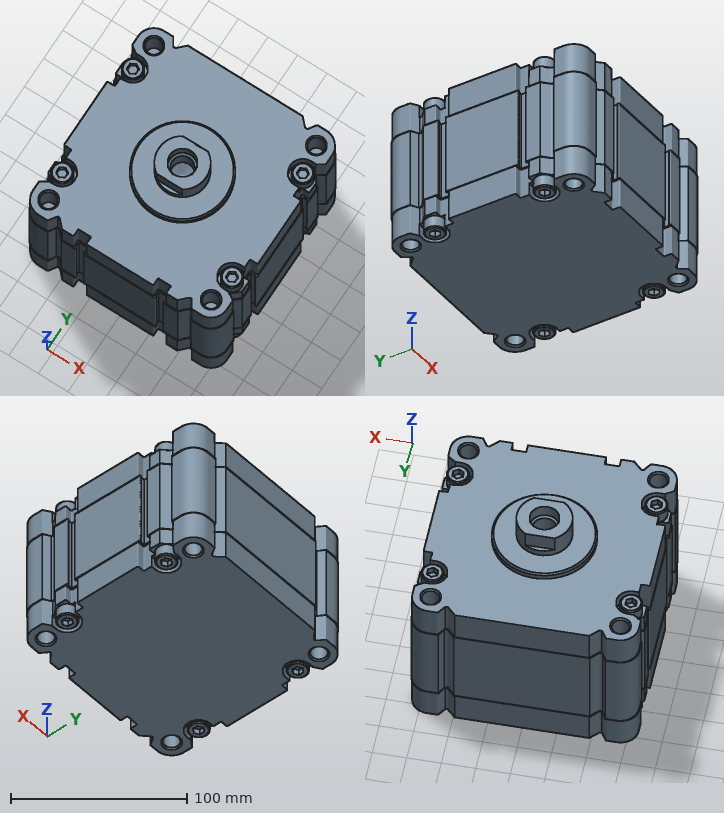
import cadquery as cq
import math

housing_height = 91.0
cap_height = 19.5
barrel_height = housing_height - 2 * cap_height
overall_height = 109.0

barrel_width = 132.0
cap_width = 131.2
corner_center = 55.0
quarter_turns = (0, 90, 180, 270)
slotted_sides = (-90, 0, 90)

cap_groove_corner_edge = 48.7
cap_groove_floor_start = 45.3
cap_groove_inner_edge = 38.9
cap_groove_floor_level = 60.5
barrel_groove_corner_edge = 48.4
barrel_groove_floor_start = 45.8
barrel_groove_inner_edge = 39.4
barrel_groove_floor_level = 61.0
groove_floor_end = 43.9
groove_floor_radius = 1.0

slot_spacing = 54.0
cap_slot_width = 8.6
cap_slot_depth = 5.1
cap_slot_floor_radius = 0.4
barrel_slot_width = 6.4
barrel_slot_mouth = 5.2
barrel_slot_lip = 1.2
barrel_slot_depth = 4.5
edge_radius = 0.5

mount_hole_diameter = 10.11
mount_hole_mouth = 12.0
mount_hole_depth = 20.0

bolt_x = 57.5
bolt_y = 37.0
bolt_recess_diameter = 17.0
bolt_head_diameter = 13.0
bolt_head_face_diameter = 11.45
bolt_head_height = 8.0
bolt_socket_width = 6.0
bolt_socket_depth = 4.0

collar_diameter = 60.0
collar_height = 4.0
collar_chamfer = 1.0

rod_diameter = 32.0
rod_flat_width = 27.0
rod_flat_length = 10.0
rod_bottom = housing_height - cap_height
rod_length = overall_height - rod_bottom
rod_bore_diameter = 17.0
rod_bore_depth = 7.6
rod_thread_diameter = 13.84
rod_thread_depth = 20.0
countersink_angle = 120.0
drill_angle = 118.0


def turned(body, angle):
    """Body turned about the housing axis."""
    return body.rotate((0, 0, 0), (0, 0, 1), angle)


def cone_height(radius_change, full_angle):
    return radius_change / math.tan(math.radians(full_angle / 2))


def revolved(profile):
    """Solid of revolution about Z from (radius, height) points."""
    return cq.Workplane("XZ").polyline(profile).close().revolve(360, (0, 0, 0), (0, 1, 0))


def cylinder(diameter, bottom, height):
    return cq.Workplane("XY").workplane(offset=bottom).circle(diameter / 2).extrude(height)


def side_box(width, inner_level, outer_level, height):
    """Box on the -Y side, between two distances from the housing axis."""
    middle_level = (inner_level + outer_level) / 2
    return (
        cq.Workplane("XY")
        .center(0, -middle_level)
        .rect(width, outer_level - inner_level)
        .extrude(height)
    )


def round_side_edges(body, height, level, places, angles):
    """Round upright edges at the given places along the sides, at one distance from the axis."""
    for angle in angles:
        turn = math.radians(angle)
        for place in places:
            edge_middle = (
                place * math.cos(turn) + level * math.sin(turn),
                place * math.sin(turn) - level * math.cos(turn),
                height / 2,
            )
            body = body.edges(cq.NearestToPointSelector(edge_middle)).fillet(edge_radius)
    return body


def make_groove(height, side, floor_level, corner_edge, floor_start, inner_edge):
    """Groove in the -Y side, near its -X end."""
    floor_end = (-groove_floor_end, -floor_level, height / 2)
    return (
        cq.Workplane("XY")
        .moveTo(-corner_edge, -side)
        .lineTo(-floor_start, -floor_level)
        .lineTo(-groove_floor_end, -floor_level)
        .lineTo(-inner_edge, -side)
        .close()
        .extrude(height)
        .edges(cq.NearestToPointSelector(floor_end))
        .fillet(groove_floor_radius)
    )


def make_section(width, height, groove, slot):
    """Rounded square with a groove at both ends of every side, and the sensor slots."""
    corner_radius = width / 2 - corner_center
    body = cq.Workplane("XY").rect(width, width).extrude(height).edges("|Z").fillet(corner_radius)
    for angle in quarter_turns:
        body = body.cut(turned(groove, angle))
        body = body.cut(turned(groove.mirror("YZ"), angle))
    for angle in slotted_sides:
        for x in (-slot_spacing / 2, slot_spacing / 2):
            body = body.cut(turned(slot.translate((x, 0, 0)), angle))
    return body


def slot_edges(mouth_width):
    """Places along a side of the edges of both slot mouths."""
    return [
        center + edge
        for center in (-slot_spacing / 2, slot_spacing / 2)
        for edge in (-mouth_width / 2, mouth_width / 2)
    ]


def make_barrel():
    side = barrel_width / 2
    groove = make_groove(
        barrel_height,
        side,
        barrel_groove_floor_level,
        barrel_groove_corner_edge,
        barrel_groove_floor_start,
        barrel_groove_inner_edge,
    )
    lip_level = side - barrel_slot_lip
    mouth = side_box(barrel_slot_mouth, lip_level, side, barrel_height)
    chamber = side_box(barrel_slot_width, side - barrel_slot_depth, lip_level, barrel_height)
    barrel = make_section(barrel_width, barrel_height, groove, mouth.union(chamber))
    return round_side_edges(barrel, barrel_height, side, slot_edges(barrel_slot_mouth), slotted_sides)


def make_plain_cap():
    side = cap_width / 2
    groove = make_groove(
        cap_height,
        side,
        cap_groove_floor_level,
        cap_groove_corner_edge,
        cap_groove_floor_start,
        cap_groove_inner_edge,
    )
    slot = side_box(cap_slot_width, side - cap_slot_depth, side, cap_height)
    slot = slot.edges("|Z and >Y").fillet(cap_slot_floor_radius)
    cap = make_section(cap_width, cap_height, groove, slot)
    groove_edges = (-cap_groove_corner_edge, cap_groove_corner_edge)
    cap = round_side_edges(cap, cap_height, side, groove_edges, quarter_turns)
    return round_side_edges(cap, cap_height, side, slot_edges(cap_slot_width), slotted_sides)


def make_mount_hole():
    """Cutter for a blind mounting hole with a chamfered mouth at Z = 0."""
    hole_radius = mount_hole_diameter / 2
    mouth_radius = mount_hole_mouth / 2
    return revolved(
        [
            (0, 0),
            (mouth_radius, 0),
            (hole_radius, hole_radius - mouth_radius),
            (hole_radius, -mount_hole_depth),
            (0, -mount_hole_depth),
        ]
    )


def make_bolt_recess():
    """Cutter for a bolt head's recess, open towards +X and with its top at Z = 0."""
    run = cap_width / 2
    opening = (
        cq.Workplane("XY").center(run / 2, 0).rect(run, bolt_recess_diameter).extrude(-bolt_head_height)
    )
    return cylinder(bolt_recess_diameter, -bolt_head_height, bolt_head_height).union(opening)


def make_bolt_head():
    """Socket head with its top at Z = 0."""
    chamfer = (bolt_head_diameter - bolt_head_face_diameter) / 2
    socket_corner_diameter = bolt_socket_width / math.cos(math.radians(30))
    socket = (
        cq.Workplane("XY")
        .polygon(6, socket_corner_diameter)
        .extrude(-bolt_socket_depth)
        .rotate((0, 0, 0), (0, 0, 1), 90)
    )
    head = cylinder(bolt_head_diameter, -bolt_head_height, bolt_head_height)
    return head.faces(">Z").chamfer(chamfer).cut(socket)


def make_cap():
    """Cap with its outer face up, at Z = cap_height."""
    cap = make_plain_cap()
    hole = make_mount_hole()
    for angle in quarter_turns:
        cap = cap.cut(turned(hole.translate((corner_center, corner_center, cap_height)), angle))
    recess = make_bolt_recess()
    head = make_bolt_head()
    for angle in (0, 180):
        for y in (-bolt_y, bolt_y):
            bolt_top = (bolt_x, y, cap_height)
            cap = cap.cut(turned(recess.translate(bolt_top), angle))
            cap = cap.union(turned(head.translate(bolt_top), angle))
    return cap


def make_housing():
    cap = make_cap()
    top_cap = cap.translate((0, 0, housing_height - cap_height))
    bottom_cap = cap.mirror("XY").translate((0, 0, cap_height))
    collar = cylinder(collar_diameter, housing_height, collar_height).faces(">Z").chamfer(collar_chamfer)
    rod_hole = cylinder(rod_diameter, rod_bottom, rod_length)
    barrel = make_barrel().translate((0, 0, cap_height))
    return barrel.union(top_cap).union(bottom_cap).union(collar).cut(rod_hole)


def make_rod_bore():
    """Cutter for the bore and threaded hole in the rod's end, with its mouth at Z = 0."""
    bore_radius = rod_bore_diameter / 2
    thread_radius = rod_thread_diameter / 2
    thread_start = rod_bore_depth + cone_height(bore_radius - thread_radius, countersink_angle)
    drill_tip = rod_thread_depth + cone_height(thread_radius, drill_angle)
    return revolved(
        [
            (0, 0),
            (bore_radius, 0),
            (bore_radius, -rod_bore_depth),
            (thread_radius, -thread_start),
            (thread_radius, -rod_thread_depth),
            (0, -drill_tip),
        ]
    )


def make_rod():
    rod = cylinder(rod_diameter, rod_bottom, rod_length)
    rod = rod.cut(make_rod_bore().translate((0, 0, overall_height)))
    flat = side_box(rod_diameter, rod_flat_width / 2, rod_diameter, rod_flat_length)
    flat = flat.translate((0, 0, overall_height - rod_flat_length))
    return rod.cut(flat).cut(turned(flat, 180))


housing = make_housing()
rod = make_rod()
result = cq.Compound.makeCompound([housing.val(), rod.val()])